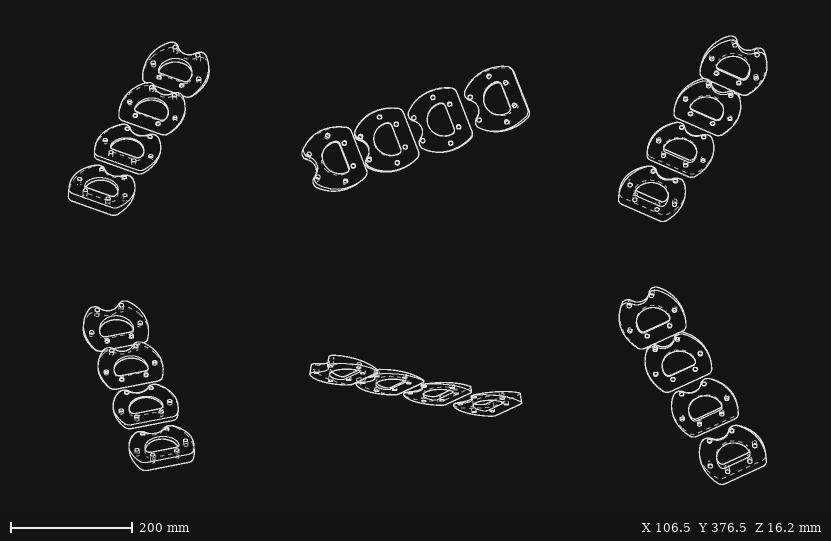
import cadquery as cq
import math

plate_length = 88.8
half_width = 53.25
widest_y = 40.0
upper_side_radius = 63.2
lower_side_radius = 75.0
corner_radius = 11.3
notch_radius = 19.5
notch_bottom_y = 75.3
lobe_radius = 11.5

opening_radius = 28.2
opening_center_y = 35.5
opening_flat_y = 26.0
opening_corner_radius = 7.0

hole_diameter = 7.0
inner_hole_x = 20.7
outer_hole_x = 41.5
hole_rows = [(inner_hole_x, 18.0), (outer_hole_x, 40.0), (inner_hole_x, 81.3)]

thin_edge_height = 0.8
wedges = [(10, 285.2), (5, 193.8), (-5, 100.0), (-10, 2.0)]

blank_depth = 30.0
trim_size = 225.8


def side_point(radius, y):
    """Point at distance y from the straight edge, on the side arc tangent at the widest point."""
    center_x = half_width - radius
    return center_x + math.sqrt(radius**2 - (y - widest_y) ** 2), y


def side_point_at_x(radius, x):
    """Point above widest_y with the given x on a side arc."""
    center_x = half_width - radius
    return x, widest_y + math.sqrt(radius**2 - (x - center_x) ** 2)


def mirrored(point):
    return -point[0], point[1]


def plate_outline():
    """Outer prism with rounded corners, and a notch between two rounded lobes."""
    corner = side_point(lower_side_radius, 0)
    lower_middle = side_point(lower_side_radius, widest_y / 2)
    widest = (half_width, widest_y)
    upper_middle = side_point_at_x(upper_side_radius, half_width * 3 / 4)
    apex = side_point_at_x(upper_side_radius, 0)
    blank = (
        cq.Workplane("XY")
        .moveTo(*mirrored(corner))
        .lineTo(*corner)
        .threePointArc(lower_middle, widest)
        .threePointArc(upper_middle, apex)
        .threePointArc(mirrored(upper_middle), mirrored(widest))
        .threePointArc(mirrored(lower_middle), mirrored(corner))
        .close()
        .extrude(-blank_depth)
    )
    notch_center_y = notch_bottom_y + notch_radius
    notch = cq.Workplane("XY").center(0, notch_center_y).circle(notch_radius).extrude(-blank_depth)
    plate = blank.cut(notch)
    plate = plate.edges("|Z").edges("<Y").fillet(corner_radius)
    return plate.edges("|Z").edges(">Y").fillet(lobe_radius)


def opening():
    """D-shaped cutter: a circle cut off by a flat, with rounded corners."""
    disc = cq.Workplane("XY").center(0, opening_center_y).circle(opening_radius).extrude(-blank_depth)
    below_flat = (
        cq.Workplane("XY")
        .center(0, opening_flat_y - opening_radius)
        .rect(4 * opening_radius, 2 * opening_radius)
        .extrude(-blank_depth)
    )
    return disc.cut(below_flat).edges("|Z").edges("<Y").fillet(opening_corner_radius)


def screw_holes():
    centers = [(side * x, y) for x, y in hole_rows for side in (-1, 1)]
    return cq.Workplane("XY").pushPoints(centers).circle(hole_diameter / 2).extrude(-blank_depth)


def wedge(slope, straight_edge_y):
    """Flat plate tilted about its straight edge, then trimmed level at Z = 0."""
    rise = plate_length * math.sin(math.radians(slope))
    straight_edge_z = thin_edge_height + max(0, -rise)
    tilted = (
        plate_outline()
        .cut(opening())
        .cut(screw_holes())
        .rotate((0, 0, 0), (1, 0, 0), slope)
        .translate((0, straight_edge_y, straight_edge_z))
    )
    above_ground = (
        cq.Workplane("XY")
        .center(0, straight_edge_y)
        .rect(trim_size, trim_size)
        .extrude(trim_size)
    )
    return tilted.intersect(above_ground)


result = cq.Compound.makeCompound([wedge(slope, edge_y).val() for slope, edge_y in wedges])